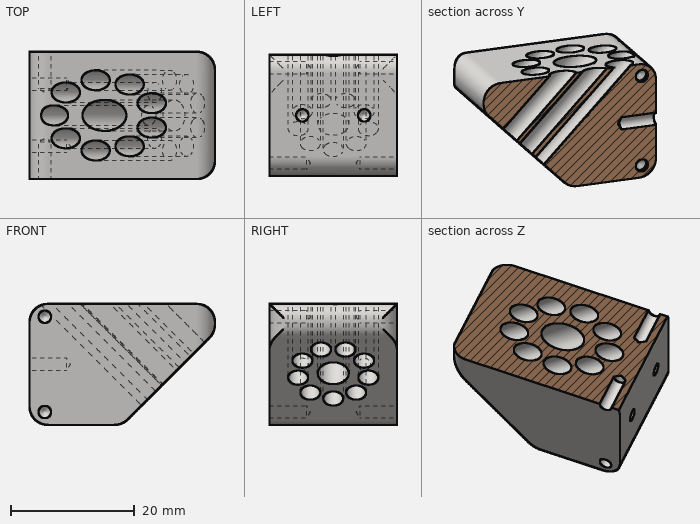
import cadquery as cq
import math

LENGTH = 30.0
WIDTH = 20.6
HEIGHT = 19.6
CORNER_RADIUS = 3.0
SLOPE_START_X = 15.0
SLOPE_ANGLE = 45.0

CENTRE_BORE_DIAMETER = 5.0
RING_BORE_DIAMETER = 3.25
RING_BORE_COUNT = 9
RING_RADIUS = 5.75
BORE_TOP_X = 12.12
BORE_LENGTH = 2 * LENGTH

SIDE_HOLE_DIAMETER = 2.0
SIDE_HOLE_X = 2.5
SIDE_HOLE_EDGE_DISTANCE = 2.1
BACK_HOLE_DIAMETER = 2.0
BACK_HOLE_SPACING = 10.0
SCREW_HOLE_DEPTH = 6.0
DRILL_POINT_ANGLE = 118.0


def make_body():
    """Side profile with rounded corners, limited by a plan outline with two rounded corners."""
    slope_end_z = (LENGTH - SLOPE_START_X) * math.tan(math.radians(SLOPE_ANGLE))
    profile = (
        cq.Workplane("XZ")
        .polyline([
            (0, 0),
            (SLOPE_START_X, 0),
            (LENGTH, slope_end_z),
            (LENGTH, HEIGHT),
            (0, HEIGHT),
        ])
        .close()
        .extrude(WIDTH / 2, both=True)
        .edges("|Y")
        .fillet(CORNER_RADIUS)
    )
    plan = (
        cq.Workplane("XY")
        .box(LENGTH, WIDTH, HEIGHT, centered=(False, True, False))
        .edges("|Z and >X")
        .fillet(CORNER_RADIUS)
    )
    return profile.intersect(plan)


def make_inclined_bores():
    """Central bore and its ring, running both ways from the point on the top face."""
    slope = math.radians(SLOPE_ANGLE)
    bore_plane = cq.Plane(
        origin=(BORE_TOP_X, 0, HEIGHT),
        xDir=(math.cos(slope), 0, math.sin(slope)),
        normal=(math.sin(slope), 0, -math.cos(slope)),
    )
    centre = cq.Workplane(bore_plane).circle(CENTRE_BORE_DIAMETER / 2).extrude(BORE_LENGTH / 2, both=True)
    ring = (
        cq.Workplane(bore_plane)
        .polarArray(RING_RADIUS, 180, 360, RING_BORE_COUNT)
        .circle(RING_BORE_DIAMETER / 2)
        .extrude(BORE_LENGTH / 2, both=True)
    )
    return centre.union(ring)


def make_screw_hole(mouth, direction, diameter):
    """Cylinder with a conical tip, starting at the mouth and running along the direction."""
    radius = diameter / 2
    tip_length = radius / math.tan(math.radians(DRILL_POINT_ANGLE / 2))
    start = cq.Vector(*mouth)
    inward = cq.Vector(*direction)
    shank = cq.Solid.makeCylinder(radius, SCREW_HOLE_DEPTH, start, inward)
    tip = cq.Solid.makeCone(radius, 0, tip_length, start + inward * SCREW_HOLE_DEPTH, inward)
    return shank.fuse(tip)


result = make_body().cut(make_inclined_bores())

for side in (-1, 1):
    for z in (SIDE_HOLE_EDGE_DISTANCE, HEIGHT - SIDE_HOLE_EDGE_DISTANCE):
        mouth = (SIDE_HOLE_X, side * WIDTH / 2, z)
        result = result.cut(make_screw_hole(mouth, (0, -side, 0), SIDE_HOLE_DIAMETER))

for side in (-1, 1):
    mouth = (0, side * BACK_HOLE_SPACING / 2, HEIGHT / 2)
    result = result.cut(make_screw_hole(mouth, (1, 0, 0), BACK_HOLE_DIAMETER))